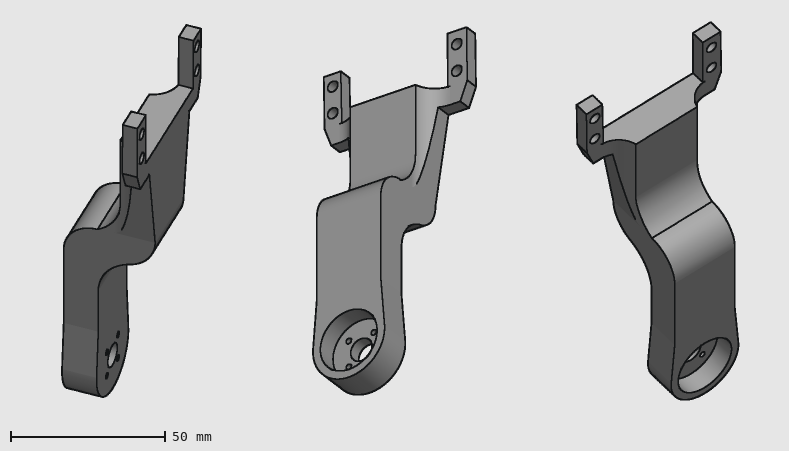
import cadquery as cq
import math

height = 136.1
depth = 32.0
thickness = 12.1
arm_half_width = 12.5
body_top = 116.0
upper_front = depth - thickness

outer_bend_z = 64.3
outer_bend_radius = 11.8
inner_bend_radius = 15.4
front_bend_end_z = 89.5
back_bend_start_z = 50.2
back_bend_radius = 12.3
flare_bottom = 76.5
back_bend_meet_x = 22.3

hub_radius = 14.0
hub_taper_top = 33.4
recess_diameter = 22.2
recess_depth = 7.4
bore_diameter = 8.3
bolt_diameter = 2.0
bolt_offset = 4.9

flare_radius = 9.0
tab_thickness = 5.2
tab_front = depth - tab_thickness
flare_start_x = tab_front - flare_radius
flare_half_width = arm_half_width + flare_radius
tab_bottom = 108.9
flare_foot_y = 17.5

tab_hole_diameter = 4.0
tab_hole_heights = (120.9, 131.0)
tab_hole_y = 24.2


def arc_point(center_x, center_z, radius, angle):
    """Point on a circle at an angle in degrees from +X towards +Z."""
    a = math.radians(angle)
    return (center_x + radius * math.cos(a), center_z + radius * math.sin(a))


def prism_along_x(outline, x_start, length):
    """Extrude an outline of (Y, Z) points along +X."""
    return cq.Workplane("YZ", origin=(x_start, 0, 0)).polyline(outline).close().extrude(length)


def cylinders_along_x(centers, diameter, length):
    """Cylinders from the X = 0 face, centred on (Y, Z) points."""
    return cq.Workplane("YZ").pushPoints(centers).circle(diameter / 2).extrude(length)


def make_crank(half_width):
    """Cranked side profile extruded symmetrically about Y = 0."""
    front_top = (outer_bend_radius, outer_bend_z + outer_bend_radius)
    back_center_x = depth - back_bend_radius
    back_meet_z = flare_bottom - math.sqrt(back_bend_radius**2 - (back_bend_meet_x - back_center_x) ** 2)
    front_middle = arc_point(upper_front - inner_bend_radius, front_bend_end_z, inner_bend_radius, -30)
    back_middle = arc_point(back_center_x, flare_bottom, back_bend_radius, -40)
    underside_middle = arc_point(thickness + inner_bend_radius, back_bend_start_z, inner_bend_radius, 145)
    return (
        cq.Workplane("XZ", origin=(0, half_width, 0))
        .moveTo(0, hub_radius)
        .lineTo(0, outer_bend_z)
        .threePointArc(arc_point(outer_bend_radius, outer_bend_z, outer_bend_radius, 135), front_top)
        .threePointArc(front_middle, (upper_front, front_bend_end_z))
        .lineTo(upper_front, body_top)
        .lineTo(depth, body_top)
        .lineTo(depth, flare_bottom)
        .threePointArc(back_middle, (back_bend_meet_x, back_meet_z))
        .threePointArc(underside_middle, (thickness, back_bend_start_z))
        .lineTo(thickness, hub_radius)
        .close()
        .extrude(2 * half_width)
    )


def make_hub():
    """Disc joined to the arm by flanks that meet it tangentially."""
    rise = hub_taper_top - hub_radius
    corner_distance = math.hypot(arm_half_width, rise)
    angle = math.degrees(math.atan2(rise, arm_half_width) - math.acos(hub_radius / corner_distance))
    tangent_y, tangent_z = arc_point(0, hub_radius, hub_radius, angle)
    return (
        cq.Workplane("YZ")
        .moveTo(-arm_half_width, hub_taper_top)
        .lineTo(-tangent_y, tangent_z)
        .threePointArc((0, 0), (tangent_y, tangent_z))
        .lineTo(arm_half_width, hub_taper_top)
        .close()
        .extrude(thickness)
    )


def make_flare():
    """Concave flares on both sides, trimmed by sloping flanks below the tabs."""
    bend = math.sqrt(0.5) * flare_radius
    mid_x = flare_start_x + bend
    mid_y = flare_half_width - bend
    section = (
        cq.Workplane("XY", origin=(0, 0, flare_bottom))
        .moveTo(flare_start_x, -arm_half_width)
        .threePointArc((mid_x, -mid_y), (tab_front, -flare_half_width))
        .lineTo(depth, -flare_half_width)
        .lineTo(depth, flare_half_width)
        .lineTo(tab_front, flare_half_width)
        .threePointArc((mid_x, mid_y), (flare_start_x, arm_half_width))
        .close()
        .extrude(body_top - flare_bottom)
    )
    flanks = [
        (-arm_half_width, flare_bottom),
        (-flare_foot_y, tab_bottom),
        (-flare_half_width, tab_bottom),
        (-flare_half_width, body_top),
        (flare_half_width, body_top),
        (flare_half_width, tab_bottom),
        (flare_foot_y, tab_bottom),
        (arm_half_width, flare_bottom),
    ]
    trimmed = section.intersect(prism_along_x(flanks, 0, depth))
    return trimmed.intersect(make_crank(flare_half_width))


plus_y_tab = [
    (20.7, tab_bottom),
    (24.9, tab_bottom),
    (27.5, body_top),
    (27.8, 135.7),
    (21.1, 135.7),
    (20.7, body_top),
]
minus_y_tab = [
    (-20.7, tab_bottom),
    (-25.6, tab_bottom),
    (-28.3, body_top),
    (-28.0, height),
    (-20.5, height),
]

result = make_crank(arm_half_width).union(make_hub())
result = result.union(make_flare())
for outline in (plus_y_tab, minus_y_tab):
    result = result.union(prism_along_x(outline, tab_front, tab_thickness))

tab_holes = [(side * tab_hole_y, z) for side in (-1, 1) for z in tab_hole_heights]
bolt_holes = [(y, hub_radius + z) for y in (-bolt_offset, bolt_offset) for z in (-bolt_offset, bolt_offset)]
hub_center = [(0, hub_radius)]
result = result.cut(cylinders_along_x(tab_holes, tab_hole_diameter, depth))
result = result.cut(cylinders_along_x(hub_center, recess_diameter, recess_depth))
result = result.cut(cylinders_along_x(hub_center, bore_diameter, thickness))
result = result.cut(cylinders_along_x(bolt_holes, bolt_diameter, thickness))